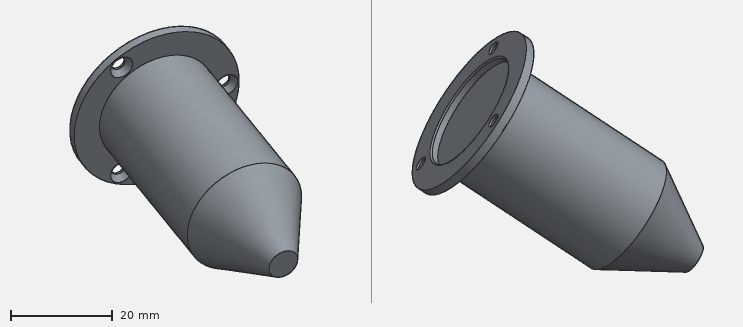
import cadquery as cq

total_length = 55.9
flange_thickness = 1.9
cone_start = 39.3

flange_diameter = 36.6
barrel_diameter = 25.35
tip_diameter = 6.35

bore_diameter = 24.55
mouth_chamfer = 0.35
core_recess = 1.7

hole_count = 3
hole_diameter = 2.9
hole_circle_diameter = 31.0
hole_straight_depth = 0.5
countersink_diameter = 4.9


def revolve_about_x(outline):
    """Turn a closed (x, radius) outline into a solid of revolution about the X axis."""
    return cq.Workplane("XY").polyline(outline).close().revolve(360, (0, 0, 0), (1, 0, 0))


def make_hole_cutter():
    """Through hole with a countersink at the back of the flange, placed on the +Y side."""
    hole_radius = hole_diameter / 2
    cutter = revolve_about_x([
        (0, 0),
        (0, hole_radius),
        (hole_straight_depth, hole_radius),
        (flange_thickness, countersink_diameter / 2),
        (flange_thickness, 0),
    ])
    return cutter.translate((0, hole_circle_diameter / 2, 0))


def make_housing():
    """Flanged barrel with a tapered nose and a blind bore with a chamfered mouth."""
    bore_radius = bore_diameter / 2
    barrel_radius = barrel_diameter / 2
    housing = revolve_about_x([
        (0, bore_radius + mouth_chamfer),
        (0, flange_diameter / 2),
        (flange_thickness, flange_diameter / 2),
        (flange_thickness, barrel_radius),
        (cone_start, barrel_radius),
        (total_length, tip_diameter / 2),
        (total_length, 0),
        (cone_start, 0),
        (cone_start, bore_radius),
        (mouth_chamfer, bore_radius),
    ])
    for hole_index in range(hole_count):
        angle = hole_index * 360 / hole_count
        housing = housing.cut(make_hole_cutter().rotate((0, 0, 0), (1, 0, 0), angle))
    return housing


def make_core():
    """Plain cylinder filling the bore, set back from the flange face."""
    core_length = cone_start - core_recess
    return cq.Workplane("YZ", origin=(core_recess, 0, 0)).circle(bore_diameter / 2).extrude(core_length)


housing = make_housing()
core = make_core()

result = cq.Compound.makeCompound([housing.val(), core.val()])